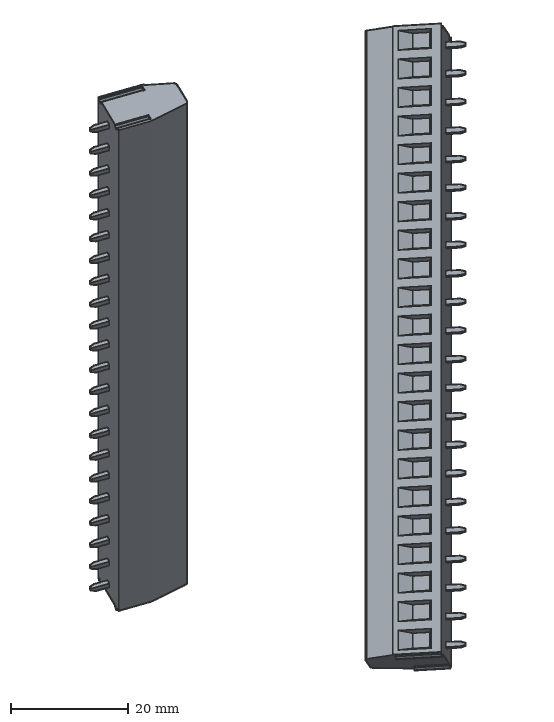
import cadquery as cq


total_length = 112.4
housing_width = 9.0
housing_height = 13.6
pole_count = 22
joint_height = 0.62

housing_length = total_length - joint_height
pole_pitch = housing_length / pole_count
pole_drop = 0.06
left_x = -housing_width / 2
right_x = housing_width / 2

crest_left_x = left_x + 1.8
crest_right_x = right_x - 1.8
crest_chamfer = 0.3
ledge_height = 8.4
ledge_depth = 0.2
right_wall_height = 6.1

funnel_bottom_y = 1.7
funnel_top_y = 7.4
funnel_height_z = 3.5
funnel_depth = 0.8
lower_slope_run = 0.5
upper_slope_run = 2.4
side_slope_run = 0.39
floor_bottom_y = funnel_bottom_y + lower_slope_run
floor_top_y = funnel_top_y - upper_slope_run
floor_height_z = funnel_height_z - 2 * side_slope_run

pin_width = 0.9
pin_tip_width = 0.5
pin_length = 3.4
pin_taper_length = 0.9
pin_shank_length = pin_length - pin_taper_length

left_joint_base = (0.3, 1.3)
left_joint_crest = (0.7, 1.0)
left_joint_length = 8.0
right_joint_base = (0.6, 1.6)
right_joint_crest = (0.9, 1.2)
right_joint_length = 6.2
joint_straight_height = 0.28


def pole_positions():
    """Heights of the pole centres along Z."""
    return [(index + 0.5) * pole_pitch - pole_drop for index in range(pole_count)]


def make_housing():
    profile = [
        (left_x, 0),
        (right_x, 0),
        (right_x, right_wall_height),
        (crest_right_x, housing_height),
        (crest_left_x, housing_height),
        (left_x + ledge_depth, ledge_height),
        (left_x, ledge_height),
    ]
    block = cq.Workplane("XY").polyline(profile).close().extrude(housing_length)
    crest_edges = block.faces(">Y").edges("|Z")
    return crest_edges.chamfer(crest_chamfer)


def make_joint(wall_x, inward, base, crest, length):
    """Rib along Y standing on Z = 0 and pointing down; inward is the X direction away from the wall."""
    base_start, base_end = [wall_x + inward * offset for offset in base]
    crest_start, crest_end = [wall_x + inward * offset for offset in crest]
    section = [
        (base_start, 0),
        (base_end, 0),
        (base_end, -joint_straight_height),
        (crest_end, -joint_height),
        (crest_start, -joint_height),
        (base_start, -joint_straight_height),
    ]
    return cq.Workplane("XZ").polyline(section).close().extrude(-length)


def make_funnel(center_z):
    """Four-sided funnel from the left wall to a smaller flat floor."""
    mouth_center_y = (funnel_bottom_y + funnel_top_y) / 2
    floor_center_y = (floor_bottom_y + floor_top_y) / 2
    return (
        cq.Workplane("YZ", origin=(left_x, mouth_center_y, center_z))
        .rect(funnel_top_y - funnel_bottom_y, funnel_height_z)
        .workplane(offset=funnel_depth)
        .center(floor_center_y - mouth_center_y, 0)
        .rect(floor_top_y - floor_bottom_y, floor_height_z)
        .loft(ruled=True)
    )


def make_pin(center_z):
    """Square pin pointing toward -Y with a pyramid-shaped tip."""
    shank = cq.Workplane("XZ", origin=(0, 0, center_z)).rect(pin_width, pin_width).extrude(pin_shank_length)
    tip = (
        cq.Workplane("XZ", origin=(0, -pin_shank_length, center_z))
        .rect(pin_width, pin_width)
        .workplane(offset=pin_taper_length)
        .rect(pin_tip_width, pin_tip_width)
        .loft(ruled=True)
    )
    return shank.union(tip)


result = make_housing()

left_joint = make_joint(left_x, 1, left_joint_base, left_joint_crest, left_joint_length)
right_joint = make_joint(right_x, -1, right_joint_base, right_joint_crest, right_joint_length)
for joint in (left_joint, right_joint):
    groove = joint.translate((0, 0, housing_length))
    result = result.union(joint).cut(groove)

for pole_z in pole_positions():
    result = result.cut(make_funnel(pole_z)).union(make_pin(pole_z))